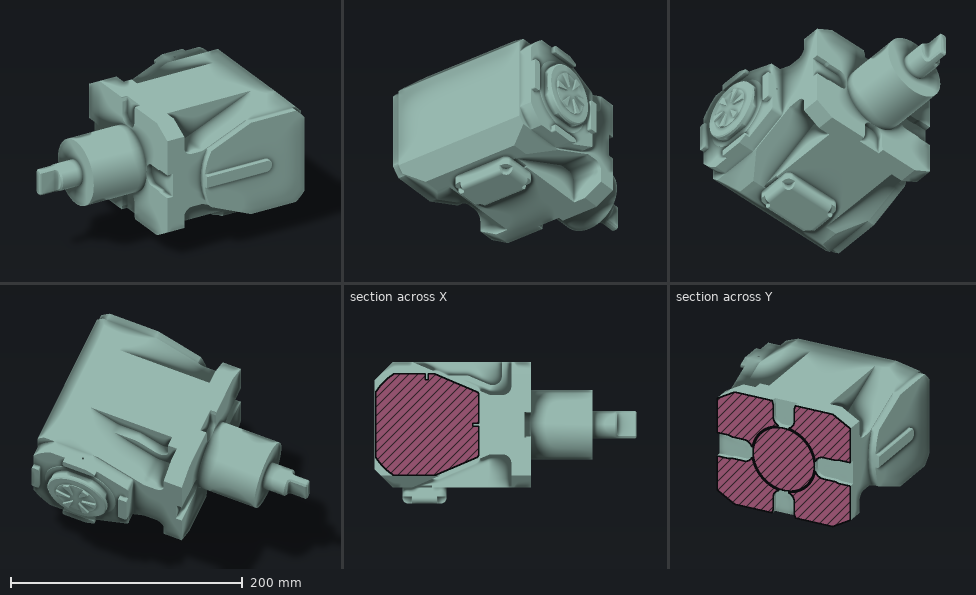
import cadquery as cq
import math

OVERLAP = 1.0

BODY_HALF_WIDTH = 65.0
BODY_HALF_HEIGHT = 54.0
BODY_LENGTH = 135.0
SIDE_HALF_HEIGHT = 44.0
CORNER_BEVEL_ANGLE = 30.0
BACK_CHAMFER = 15.7

SLOPE_ANGLE = 23.1
SLOPE_START_Y = 102.2
RELIEF_FLOOR_Z = 25.5
RELIEF_WALL_Y = 17.0
RELIEF_RADIUS = 8.0
RIB_HALF_WIDTH = 36.0

STEP_INNER_X = -27.0
STEP_FLOOR_Z = 42.6
STEP_SLOPE_START_Y = 54.8
STEP_WALL_Y = 25.2
STEP_FLOOR_RADIUS = 8.0

KEYWAY_WIDTH = 20.0
KEYWAY_MOUTH_WIDTH = 22.0
KEYWAY_DEPTH = 5.5
KEYWAY_CORNER_RADIUS = 7.7
KEYWAY_FLARE_START = 50.3
KEYWAY_FLARE_END = 53.3

SHANK_DIAMETER = 60.0
SHANK_LENGTH = 53.0
UNDERCUT_DIAMETER = 61.4
UNDERCUT_DEPTH = 1.0
DRIVE_DIAMETER = 23.7
DRIVE_SHOULDER_Y = -74.2
TANG_END_Y = -90.8
TANG_THICKNESS = 7.4
TANG_ROOT_RADIUS = 2.2
TANG_END_CHAMFER = 0.9
TANG_SIDE_CHAMFER = 1.4

SPINDLE_Y = 90.0

PLATE_HALF = 44.0
LEFT_PLATE_X = -76.7
LEFT_PLATE_RADIUS = 52.4
LEFT_PLATE_FRONT_Y = 45.0
LEFT_PLATE_CORNER_RADIUS = 3.0
LEFT_PLATE_SLOPE_DROP = 1.85
RIGHT_PLATE_X = 71.9
RIGHT_PLATE_RADIUS = 56.6
RIGHT_PLATE_SLOPE_DROP = 0.6

PAD_X = -81.0
PAD_LENGTH = 30.0
PAD_WIDTH = 6.8
FRONT_PAD_WIDTH = 8.2
PAD_CORNER_RADIUS = 1.6

RIM_HOLE_DIAMETER = 2.1
RIM_HOLE_DEPTH = 5.0
RIM_HOLE_X = -71.1

SEAT_DIAMETER = 66.0
SEAT_X = -77.3
NUT_DIAMETER = 55.3
NUT_ACROSS_FLATS = 50.0
NUT_FLAT_FRONT_X = -82.0
NUT_FACE_X = -85.4
NUT_CHAMFER = 1.0
COLLET_DIAMETER = 37.5
COLLET_FACE_X = -86.0
JAW_COUNT = 6
JAW_FACE_X = -87.98
JAW_TIP_RADIUS = 5.6
JAW_HALF_WIDTH = 3.2

BAR_X = 75.5
BAR_WIDTH = 12.0
BAR_END_Y = 99.8
BAR_CHAMFER = 0.9

CAP_X_MIN = -33.7
CAP_X_MAX = 24.6
CAP_Y_MIN = 72.9
CAP_Y_MAX = 110.9
CAP_BOTTOM_Z = -68.0
CAP_CORNER_RADIUS = 5.5
CAP_EDGE_FILLET = 5.0
CAP_NOTCH_SIZE = 8.1
CAP_NOTCH_RADIUS = 4.1
CAP_NOTCH_Z = -61.8

RECESS_DEPTH = 1.7
RECESS_Y_MIN = 85.6
RECESS_X_MAX = -28.0

SLOPE_RATIO = math.tan(math.radians(SLOPE_ANGLE))


def slope_z(y):
    """Height of the relief slope above the shank axis at a given Y."""
    return BODY_HALF_HEIGHT - (SLOPE_START_Y - y) * SLOPE_RATIO


def slope_y(z):
    """Y at which the relief slope reaches a given height."""
    return SLOPE_START_Y - (BODY_HALF_HEIGHT - z) / SLOPE_RATIO


def prism_x(points, x_start, x_end):
    """Prism along X over a closed outline of (Y, Z) points."""
    outline = cq.Workplane("YZ").polyline(points).close()
    return outline.extrude(x_end - x_start).translate((x_start, 0, 0))


def cylinder_x(diameter, x_start, x_end):
    """Cylinder on the spindle axis."""
    disc = cq.Workplane("YZ").center(SPINDLE_Y, 0).circle(diameter / 2)
    return disc.extrude(x_end - x_start).translate((x_start, 0, 0))


def box_between(low, high):
    """Box given by its lowest and highest corners."""
    size = [b - a for a, b in zip(low, high)]
    return cq.Workplane("XY").box(*size, centered=False).translate(tuple(low))


def make_body():
    bevel_height = BODY_HALF_HEIGHT - SIDE_HALF_HEIGHT
    bevel_width = bevel_height / math.tan(math.radians(CORNER_BEVEL_ANGLE))
    top_half_width = BODY_HALF_WIDTH - bevel_width
    upper = [
        (BODY_HALF_WIDTH, SIDE_HALF_HEIGHT),
        (top_half_width, BODY_HALF_HEIGHT),
        (-top_half_width, BODY_HALF_HEIGHT),
        (-BODY_HALF_WIDTH, SIDE_HALF_HEIGHT),
    ]
    section = upper + [(-x, -z) for x, z in upper]
    block = cq.Workplane("XZ").polyline(section).close().extrude(-BODY_LENGTH)
    chamfer_y = BODY_LENGTH - BACK_CHAMFER
    chamfer_z = BODY_HALF_HEIGHT - BACK_CHAMFER
    side_profile = [
        (0, BODY_HALF_HEIGHT),
        (chamfer_y, BODY_HALF_HEIGHT),
        (BODY_LENGTH, chamfer_z),
        (BODY_LENGTH, -chamfer_z),
        (chamfer_y, -BODY_HALF_HEIGHT),
        (0, -BODY_HALF_HEIGHT),
    ]
    return block.intersect(prism_x(side_profile, -BODY_HALF_WIDTH, BODY_HALF_WIDTH))


def make_relief():
    """Cutter for the upper left sloped relief."""
    above_z = BODY_HALF_HEIGHT + OVERLAP
    floor_start_y = slope_y(RELIEF_FLOOR_Z)
    profile = [
        (slope_y(above_z), above_z),
        (floor_start_y, RELIEF_FLOOR_Z),
        (RELIEF_WALL_Y, RELIEF_FLOOR_Z),
        (RELIEF_WALL_Y, above_z),
    ]
    cutter = prism_x(profile, -BODY_HALF_WIDTH - OVERLAP, -RIB_HALF_WIDTH)
    return cutter.edges("|X").edges("<Z").fillet(RELIEF_RADIUS)


def make_step_pocket():
    """Cutter for the stepped pocket next to the upper left relief."""
    above_z = BODY_HALF_HEIGHT + OVERLAP
    angle = math.radians(SLOPE_ANGLE)
    arc_y = STEP_WALL_Y + STEP_FLOOR_RADIUS
    arc_start_y = arc_y + STEP_FLOOR_RADIUS * math.sin(angle)
    arc_start_z = STEP_FLOOR_Z - (STEP_SLOPE_START_Y - arc_start_y) * SLOPE_RATIO
    arc_z = arc_start_z + STEP_FLOOR_RADIUS * math.cos(angle)
    wall_normal = math.pi
    slope_normal = 3 * math.pi / 2 + angle
    middle_angle = (wall_normal + slope_normal) / 2
    arc_middle = (
        arc_y + STEP_FLOOR_RADIUS * math.cos(middle_angle),
        arc_z + STEP_FLOOR_RADIUS * math.sin(middle_angle),
    )
    outline = (
        cq.Workplane("YZ")
        .moveTo(slope_y(above_z), above_z)
        .lineTo(slope_y(STEP_FLOOR_Z), STEP_FLOOR_Z)
        .lineTo(STEP_SLOPE_START_Y, STEP_FLOOR_Z)
        .lineTo(arc_start_y, arc_start_z)
        .threePointArc(arc_middle, (STEP_WALL_Y, arc_z))
        .lineTo(STEP_WALL_Y, above_z)
        .close()
    )
    x_start = -RIB_HALF_WIDTH - OVERLAP
    pocket = outline.extrude(STEP_INNER_X - x_start).translate((x_start, 0, 0))
    bends = cq.selectors.BoxSelector(
        (x_start - OVERLAP, STEP_SLOPE_START_Y - OVERLAP, STEP_FLOOR_Z - OVERLAP),
        (0, slope_y(STEP_FLOOR_Z) + OVERLAP, STEP_FLOOR_Z + OVERLAP),
    )
    return pocket.edges("|X").edges(bends).fillet(RELIEF_RADIUS)


def cut_reliefs(body):
    left_top = make_relief()
    left_pair = left_top.union(left_top.mirror("XY"))
    body = body.cut(left_pair).cut(left_pair.mirror("YZ"))
    return body.cut(make_step_pocket())


def make_keyway():
    """Cutter for the keyway that runs from the shank out along +X."""
    inner = UNDERCUT_DIAMETER / 2
    outer = BODY_HALF_WIDTH + OVERLAP
    half = KEYWAY_WIDTH / 2
    mouth = KEYWAY_MOUTH_WIDTH / 2
    outline = [
        (inner, half),
        (KEYWAY_FLARE_START, half),
        (KEYWAY_FLARE_END, mouth),
        (outer, mouth),
        (outer, -mouth),
        (KEYWAY_FLARE_END, -mouth),
        (KEYWAY_FLARE_START, -half),
        (inner, -half),
    ]
    cutter = cq.Workplane("XZ").polyline(outline).close().extrude(-KEYWAY_DEPTH)
    return cutter.edges("|Y").edges("<X").fillet(KEYWAY_CORNER_RADIUS)


def cut_mounting_face(body):
    keyway = make_keyway()
    for turn in range(4):
        body = body.cut(keyway.rotate((0, 0, 0), (0, 1, 0), 90 * turn))
    undercut = cq.Workplane("XZ").circle(UNDERCUT_DIAMETER / 2).extrude(-UNDERCUT_DEPTH)
    return body.cut(undercut)


def make_shank():
    root = UNDERCUT_DEPTH + KEYWAY_DEPTH
    disc = cq.Workplane("XZ", origin=(0, root, 0)).circle(SHANK_DIAMETER / 2)
    return disc.extrude(root + SHANK_LENGTH)


def make_drive():
    """Drive shaft flattened to a tang; one chamfer follows the tang sides and the shoulder."""
    shaft = cq.Workplane("XZ").circle(DRIVE_DIAMETER / 2).extrude(-TANG_END_Y)
    radius = DRIVE_DIAMETER / 2 + OVERLAP
    flat = box_between(
        (TANG_THICKNESS / 2, TANG_END_Y - OVERLAP, -radius),
        (radius, DRIVE_SHOULDER_Y, radius),
    )
    flat = flat.edges("|Z").edges("<X and >Y").fillet(TANG_ROOT_RADIUS)
    drive = shaft.cut(flat).cut(flat.mirror("YZ"))
    tang_zone = cq.selectors.BoxSelector(
        (-TANG_THICKNESS, TANG_END_Y - OVERLAP, -radius),
        (TANG_THICKNESS, DRIVE_SHOULDER_Y - TANG_ROOT_RADIUS, radius),
    )
    drive = drive.edges("|Y").edges(tang_zone).chamfer(TANG_SIDE_CHAMFER)
    return drive.faces("<Y").edges().chamfer(TANG_END_CHAMFER)


def make_plate(x_start, x_end, front_y, slope_drop):
    """Side plate: a square whose front corners follow the two relief slopes."""
    back_y = SPINDLE_Y + PLATE_HALF
    slope_end_y = slope_y(PLATE_HALF + slope_drop)
    front_z = slope_z(front_y) - slope_drop
    upper = [(back_y, PLATE_HALF), (slope_end_y, PLATE_HALF), (front_y, front_z)]
    lower = [(y, -z) for y, z in reversed(upper)]
    return prism_x(upper + lower, x_start, x_end)


def make_pad_zones():
    """Four blocks with rounded corners that mark where the left plate stands up as pads."""
    half = PAD_LENGTH / 2
    spans = [
        (PLATE_HALF, PAD_WIDTH, 0),
        (PLATE_HALF, PAD_WIDTH, 90),
        (PLATE_HALF, PAD_WIDTH, 270),
        (SPINDLE_Y - LEFT_PLATE_FRONT_Y, FRONT_PAD_WIDTH, 180),
    ]
    zones = cq.Workplane("XY")
    for reach, width, angle in spans:
        zone = box_between(
            (PAD_X, SPINDLE_Y + reach - width, -half),
            (LEFT_PLATE_X, SPINDLE_Y + reach, half),
        )
        zone = zone.edges("|X").fillet(PAD_CORNER_RADIUS)
        zones = zones.union(zone.rotate((0, SPINDLE_Y, 0), (1, SPINDLE_Y, 0), angle))
    return zones


def make_left_plate():
    """Plate with pads and rounded front corners; a circle trims its back half only."""
    inner_x = -BODY_HALF_WIDTH + OVERLAP
    plate = make_plate(PAD_X, inner_x, LEFT_PLATE_FRONT_Y, LEFT_PLATE_SLOPE_DROP)
    plate = plate.edges("|X").edges("<Y").fillet(LEFT_PLATE_CORNER_RADIUS)
    trim = cylinder_x(2 * LEFT_PLATE_RADIUS, PAD_X, inner_x)
    front_half = box_between((PAD_X, 0, -PLATE_HALF), (inner_x, SPINDLE_Y, PLATE_HALF))
    plate = plate.intersect(trim.union(front_half))
    pad_layer = box_between(
        (PAD_X - OVERLAP, 0, -BODY_HALF_HEIGHT),
        (LEFT_PLATE_X, BODY_LENGTH, BODY_HALF_HEIGHT),
    )
    return plate.cut(pad_layer.cut(make_pad_zones()))


def cut_rim_holes(part):
    """Blind holes in the front and top rims of the left plate."""
    radius = RIM_HOLE_DIAMETER / 2
    front = cq.Solid.makeCylinder(
        radius, RIM_HOLE_DEPTH, cq.Vector(RIM_HOLE_X, LEFT_PLATE_FRONT_Y, 0), cq.Vector(0, 1, 0)
    )
    top = cq.Solid.makeCylinder(
        radius, RIM_HOLE_DEPTH, cq.Vector(RIM_HOLE_X, SPINDLE_Y, PLATE_HALF), cq.Vector(0, 0, -1)
    )
    return part.cut(cq.Workplane(front)).cut(cq.Workplane(top))


def make_nut():
    """Round nut with four wrench flats behind its front flange, on a raised seat."""
    x_root = LEFT_PLATE_X + OVERLAP
    seat = cylinder_x(SEAT_DIAMETER, SEAT_X, x_root)
    nut = cylinder_x(NUT_DIAMETER, NUT_FACE_X, x_root)
    nut = nut.faces("<X").chamfer(NUT_CHAMFER)
    half = NUT_ACROSS_FLATS / 2
    flat = box_between(
        (NUT_FLAT_FRONT_X, SPINDLE_Y + half, -half),
        (x_root + OVERLAP, SPINDLE_Y + NUT_DIAMETER, half),
    )
    for turn in range(4):
        nut = nut.cut(flat.rotate((0, SPINDLE_Y, 0), (1, SPINDLE_Y, 0), 90 * turn))
    return seat.union(nut)


def make_collet():
    """Collet whose front carries raised jaws pointing at the spindle axis."""
    outer = COLLET_DIAMETER / 2
    reach = outer + OVERLAP
    half = JAW_HALF_WIDTH * (reach - JAW_TIP_RADIUS) / (outer - JAW_TIP_RADIUS)
    outline = [
        (SPINDLE_Y + JAW_TIP_RADIUS, 0),
        (SPINDLE_Y + reach, half),
        (SPINDLE_Y + reach, -half),
    ]
    jaw = prism_x(outline, JAW_FACE_X - OVERLAP, COLLET_FACE_X)
    gaps = cylinder_x(2 * reach, JAW_FACE_X - OVERLAP, COLLET_FACE_X)
    for index in range(JAW_COUNT):
        angle = 360 / JAW_COUNT * index
        gaps = gaps.cut(jaw.rotate((0, SPINDLE_Y, 0), (1, SPINDLE_Y, 0), angle))
    collet = cylinder_x(COLLET_DIAMETER, JAW_FACE_X, NUT_FACE_X + OVERLAP)
    return collet.cut(gaps)


def make_right_plate():
    """Plate trimmed by a circle all round."""
    inner_x = BODY_HALF_WIDTH - OVERLAP
    front_y = SPINDLE_Y - RIGHT_PLATE_RADIUS
    plate = make_plate(inner_x, RIGHT_PLATE_X, front_y, RIGHT_PLATE_SLOPE_DROP)
    return plate.intersect(cylinder_x(2 * RIGHT_PLATE_RADIUS, inner_x, RIGHT_PLATE_X))


def make_bar():
    """Radial bar with a round inner end, trimmed to the rim of the right plate."""
    x_root = RIGHT_PLATE_X - OVERLAP
    half = BAR_WIDTH / 2
    rim_y = SPINDLE_Y - RIGHT_PLATE_RADIUS
    bar = box_between((x_root, rim_y, -half), (BAR_X, BAR_END_Y - half, half))
    end = cq.Workplane("YZ").center(BAR_END_Y - half, 0).circle(half)
    bar = bar.union(end.extrude(BAR_X - x_root).translate((x_root, 0, 0)))
    bar = bar.faces(">X").edges("not <Y").chamfer(BAR_CHAMFER)
    return bar.intersect(cylinder_x(2 * RIGHT_PLATE_RADIUS, x_root, BAR_X))


def make_cap():
    """Rounded cap with a notch at each lower corner."""
    cap = box_between(
        (CAP_X_MIN, CAP_Y_MIN, CAP_BOTTOM_Z),
        (CAP_X_MAX, CAP_Y_MAX, OVERLAP - BODY_HALF_HEIGHT),
    )
    cap = cap.edges("|Z").fillet(CAP_CORNER_RADIUS)
    cap = cap.faces("<Z").edges().fillet(CAP_EDGE_FILLET)
    block_size = 2 * CAP_NOTCH_SIZE
    for x in (CAP_X_MIN, CAP_X_MAX):
        for y in (CAP_Y_MIN, CAP_Y_MAX):
            notch = cq.Workplane("XY", origin=(x, y, CAP_NOTCH_Z)).rect(block_size, block_size)
            notch = notch.extrude(CAP_BOTTOM_Z - OVERLAP - CAP_NOTCH_Z)
            cap = cap.cut(notch.edges("|Z").fillet(CAP_NOTCH_RADIUS))
    return cap


def cut_recess(body):
    """Shallow recess that runs from the rib wall over the edge of the cap."""
    recess = box_between(
        (-RIB_HALF_WIDTH, RECESS_Y_MIN, -BODY_HALF_HEIGHT),
        (RECESS_X_MAX, SLOPE_START_Y, RECESS_DEPTH - BODY_HALF_HEIGHT),
    )
    return body.cut(recess)


result = cut_reliefs(make_body())
result = cut_mounting_face(result)
features = (
    make_shank,
    make_drive,
    make_left_plate,
    make_nut,
    make_collet,
    make_right_plate,
    make_bar,
    make_cap,
)
for make_feature in features:
    result = result.union(make_feature())
result = cut_recess(result)
result = cut_rim_holes(result)